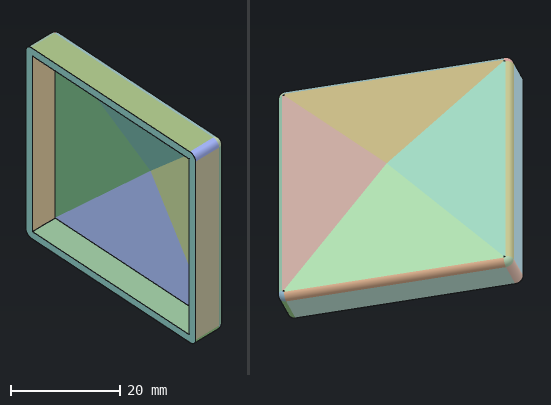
import cadquery as cq
import math

WIDTH = 45.0
HEIGHT = 12.0
EAVES_HEIGHT = 7.2
EDGE_RADIUS = 1.5
WALL = 1.8

RIM_Y = -HEIGHT / 2
PEAK_Y = HEIGHT / 2
HALF_WIDTH = WIDTH / 2
ROOF_SLOPE = (HEIGHT - EAVES_HEIGHT) / HALF_WIDTH
ROOF_ANGLE = math.atan(ROOF_SLOPE)

CORNER_AXIS = HALF_WIDTH - EDGE_RADIUS
EAVES_ARC_Y = PEAK_Y - ROOF_SLOPE * CORNER_AXIS - EDGE_RADIUS / math.cos(ROOF_ANGLE)


def roof_y(distance):
    """Height of the outer roof plane at a distance from the peak."""
    return PEAK_Y - ROOF_SLOPE * distance


def eaves_arc_point(angle):
    """Point on the eaves rounding; angle 0 is the wall end, growing towards the roof."""
    return (
        CORNER_AXIS + EDGE_RADIUS * math.cos(angle),
        EAVES_ARC_Y + EDGE_RADIUS * math.sin(angle),
    )


def outer_section(start):
    """Outer section in the XY plane, from x = start out to the wall, with rounded eaves."""
    roof_end_angle = math.pi / 2 - ROOF_ANGLE
    return (
        cq.Workplane("XY")
        .moveTo(start, RIM_Y)
        .lineTo(HALF_WIDTH, RIM_Y)
        .lineTo(*eaves_arc_point(0))
        .threePointArc(eaves_arc_point(roof_end_angle / 2), eaves_arc_point(roof_end_angle))
        .lineTo(start, roof_y(start))
        .close()
    )


def cavity_section():
    """Sharp-cornered half section of the hollow, in the XY plane."""
    half = HALF_WIDTH - WALL
    peak = PEAK_Y - WALL / math.cos(ROOF_ANGLE)
    return (
        cq.Workplane("XY")
        .moveTo(0, RIM_Y)
        .lineTo(half, RIM_Y)
        .lineTo(half, peak - ROOF_SLOPE * half)
        .lineTo(0, peak)
        .close()
    )


def pyramid_roofed(half_section):
    """Solid bounded by the section along both X and Z, so that its roof is a pyramid."""
    half_bar = half_section.extrude(HALF_WIDTH, both=True)
    bar_along_z = half_bar.union(half_bar.mirror("YZ"))
    bar_along_x = bar_along_z.rotate((0, 0, 0), (0, 1, 0), 90)
    return bar_along_z.intersect(bar_along_x)


def rounded_corner():
    """Quarter turn of the outer edge section, filling the +X +Z corner."""
    return (
        outer_section(CORNER_AXIS)
        .revolve(90, (CORNER_AXIS, 0), (CORNER_AXIS, -1))
        .translate((0, 0, CORNER_AXIS))
    )


def square_corner():
    """Block of the mitred +X +Z corner that the rounded corner replaces."""
    return (
        cq.Workplane("XY")
        .box(EDGE_RADIUS, HEIGHT, EDGE_RADIUS, centered=(False, True, False))
        .translate((CORNER_AXIS, 0, CORNER_AXIS))
    )


def outer_body():
    """Solid cap with rounded eaves and corners, before hollowing."""
    body = pyramid_roofed(outer_section(0))
    for quarter in range(4):
        turn = ((0, 0, 0), (0, 1, 0), 90 * quarter)
        body = body.cut(square_corner().rotate(*turn))
        body = body.union(rounded_corner().rotate(*turn))
    return body.clean()


result = outer_body().cut(pyramid_roofed(cavity_section()))